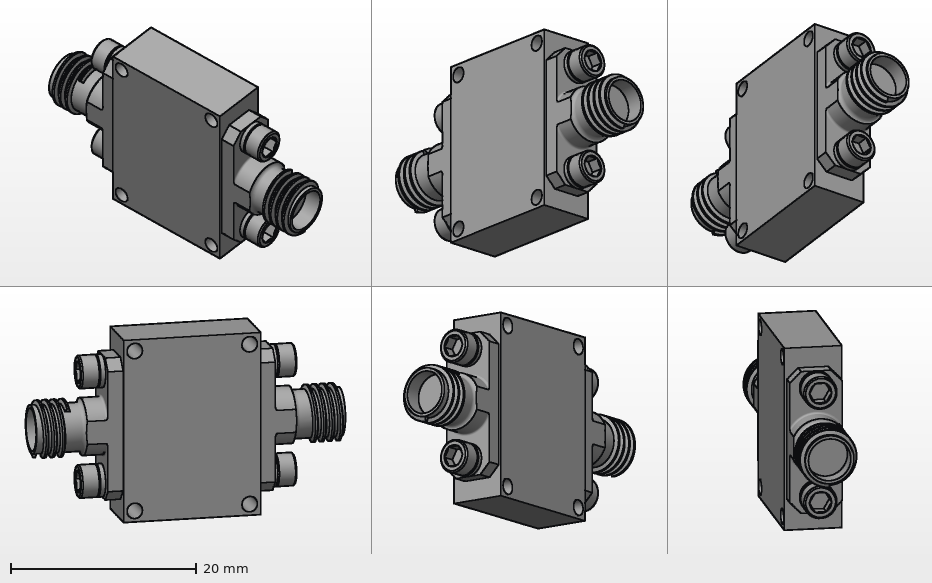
import cadquery as cq
import math

HOUSING_LENGTH = 15.22
HOUSING_DEPTH = 6.35
HOUSING_HEIGHT = 20.35
MOUNT_HOLE_DIAMETER = 1.7
MOUNT_HOLE_X = 6.38
MOUNT_HOLE_Z = 8.9

OVERALL_LENGTH = 34.3
FLANGE_THICKNESS = 1.68
FLANGE_WIDTH = 5.75
FLANGE_HEIGHT = 15.85
FLANGE_CHAMFER = 1.25
BOSS_RADIUS = 3.15
BOSS_LENGTH = 2.3
BOSS_ROOT_FILLET = 0.25
BARREL_RADIUS = 2.67
BORE_RADIUS = 2.33
BORE_DEPTH = 2.02

THREAD_PITCH = 0.93
THREAD_TURNS = 3.6
THREAD_START = 0.35
THREAD_CREST_RADIUS = 3.15
THREAD_CREST_WIDTH = 0.25
THREAD_ROOT_WIDTH = 0.65
THREAD_OVERLAP = 0.07

SCREW_RADIUS = 1.82
SCREW_HEAD_LENGTH = 2.13
SCREW_CHAMFER = 0.17
WASHER_THICKNESS = 0.55
SOCKET_ACROSS_FLATS = 2.13
SOCKET_DEPTH = 1.47
SOCKET_MOUTH_RADIUS = 1.2
SOCKET_MOUTH_DEPTH = 0.1

TIP_X = -OVERALL_LENGTH / 2
HOUSING_END_X = -HOUSING_LENGTH / 2
FLANGE_FACE_X = HOUSING_END_X - FLANGE_THICKNESS
BOSS_END_X = FLANGE_FACE_X - BOSS_LENGTH
SCREW_Z = FLANGE_HEIGHT / 2 - SCREW_RADIUS

END_ANGLES = (0, 180)


def turned_to_end(shape, angle):
    return shape.rotate((0, 0, 0), (0, 0, 1), angle)


def housing_block():
    block = cq.Workplane("XY").box(HOUSING_LENGTH, HOUSING_DEPTH, HOUSING_HEIGHT)
    holes = (
        cq.Workplane("XZ", origin=(0, HOUSING_DEPTH / 2, 0))
        .rect(2 * MOUNT_HOLE_X, 2 * MOUNT_HOLE_Z, forConstruction=True)
        .vertices()
        .circle(MOUNT_HOLE_DIAMETER / 2)
        .extrude(HOUSING_DEPTH)
    )
    return block.cut(holes)


def flange():
    return (
        cq.Workplane("YZ", origin=(FLANGE_FACE_X, 0, 0))
        .rect(FLANGE_WIDTH, FLANGE_HEIGHT)
        .extrude(FLANGE_THICKNESS)
        .edges("|X")
        .chamfer(FLANGE_CHAMFER)
    )


def barrel_and_boss():
    """Turned body with fillets at both ends of the boss, flattened to the flange width."""
    neck_fillet = BOSS_RADIUS - BARREL_RADIUS
    quarter = math.sqrt(0.5)
    neck_x = BOSS_END_X - neck_fillet
    root_x = FLANGE_FACE_X - BOSS_ROOT_FILLET
    root_radius = BOSS_RADIUS + BOSS_ROOT_FILLET
    turned = (
        cq.Workplane("XY")
        .moveTo(TIP_X, 0)
        .lineTo(TIP_X, BARREL_RADIUS)
        .lineTo(neck_x, BARREL_RADIUS)
        .threePointArc(
            (neck_x + neck_fillet * quarter, BOSS_RADIUS - neck_fillet * quarter),
            (BOSS_END_X, BOSS_RADIUS),
        )
        .lineTo(root_x, BOSS_RADIUS)
        .threePointArc(
            (root_x + BOSS_ROOT_FILLET * quarter, root_radius - BOSS_ROOT_FILLET * quarter),
            (FLANGE_FACE_X, root_radius),
        )
        .lineTo(FLANGE_FACE_X, 0)
        .close()
        .revolve(360, (0, 0, 0), (1, 0, 0))
    )
    between_flats = cq.Workplane("XY").box(2 * OVERALL_LENGTH, FLANGE_WIDTH, FLANGE_HEIGHT)
    return turned.intersect(between_flats)


def thread():
    """Helical ridge that starts at the tip, on the -Z side, and runs towards the flange."""
    root_radius = BARREL_RADIUS - THREAD_OVERLAP
    half_root = THREAD_ROOT_WIDTH / 2
    half_crest = THREAD_CREST_WIDTH / 2
    path = cq.Wire.makeHelix(THREAD_PITCH, THREAD_TURNS * THREAD_PITCH, root_radius)
    ridge = (
        cq.Workplane("XZ")
        .moveTo(root_radius, -half_root)
        .lineTo(THREAD_CREST_RADIUS, -half_crest)
        .lineTo(THREAD_CREST_RADIUS, half_crest)
        .lineTo(root_radius, half_root)
        .close()
        .sweep(cq.Workplane(path), isFrenet=True)
    )
    return ridge.rotate((0, 0, 0), (0, 1, 0), 90).translate((TIP_X + THREAD_START, 0, 0))


def connector():
    bore = cq.Workplane("YZ", origin=(TIP_X, 0, 0)).circle(BORE_RADIUS).extrude(BORE_DEPTH)
    return flange().union(barrel_and_boss()).union(thread()).cut(bore)


def housing_with_connectors():
    body = housing_block()
    end = connector()
    for angle in END_ANGLES:
        body = body.union(turned_to_end(end, angle))
    return body


def socket(head_x):
    """Hexagonal recess, flats at top and bottom, with a conical mouth."""
    across_corners = SOCKET_ACROSS_FLATS / math.cos(math.pi / 6)
    face = cq.Workplane("YZ", origin=(head_x, 0, 0))
    hexagon = face.polygon(6, across_corners).extrude(SOCKET_DEPTH)
    mouth = cq.Workplane("XY").add(
        cq.Solid.makeCone(
            SOCKET_MOUTH_RADIUS,
            SOCKET_MOUTH_RADIUS - SOCKET_MOUTH_DEPTH,
            SOCKET_MOUTH_DEPTH,
            pnt=cq.Vector(head_x, 0, 0),
            dir=cq.Vector(1, 0, 0),
        )
    )
    return hexagon.union(mouth)


def flange_screw():
    """Screw on the X axis, seated on the face of the left flange."""
    washer_x = FLANGE_FACE_X - WASHER_THICKNESS
    head_x = washer_x - SCREW_HEAD_LENGTH
    head = (
        cq.Workplane("YZ", origin=(head_x, 0, 0))
        .circle(SCREW_RADIUS)
        .extrude(SCREW_HEAD_LENGTH)
        .edges()
        .chamfer(SCREW_CHAMFER)
    )
    washer = cq.Workplane("YZ", origin=(washer_x, 0, 0)).circle(SCREW_RADIUS).extrude(WASHER_THICKNESS)
    return head.union(washer).cut(socket(head_x))


housing = housing_with_connectors()

screws = []
for end_angle in END_ANGLES:
    for screw_z in (-SCREW_Z, SCREW_Z):
        screw = flange_screw().translate((0, 0, screw_z))
        screws.append(turned_to_end(screw, end_angle).val())

result = cq.Compound.makeCompound([housing.val(), *screws])